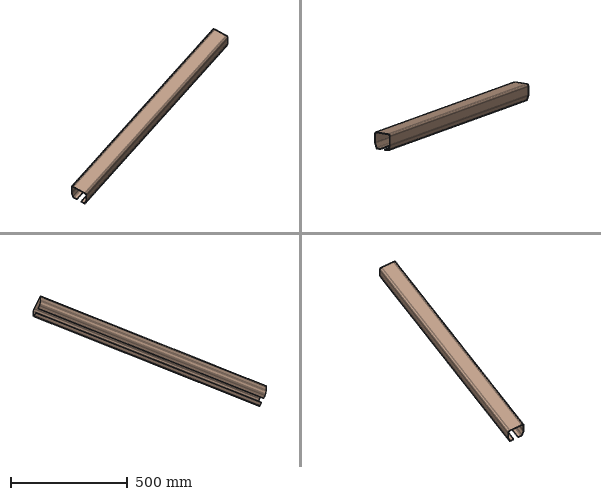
import cadquery as cq

length = 1056.0
width = 80.0
height = 75.0
wall = 4.0

bottom_width = 62.0
slot_width = 22.0
upright_height = 50.0
top_radius = 10.0
bend_radius = 6.0
lip_radius = 6.0

half_width = width / 2
half_bottom = bottom_width / 2
top = height / 2
bottom = -height / 2
bend = top - upright_height


def solid_bar():
    """Full outer section, without the hollow, with its bends rounded."""
    bar = (
        cq.Workplane("XZ")
        .moveTo(-half_width, top)
        .lineTo(half_width, top)
        .lineTo(half_width, bend)
        .lineTo(half_bottom, bottom)
        .lineTo(-half_bottom, bottom)
        .lineTo(-half_width, bend)
        .close()
        .extrude(length / 2, both=True)
    )
    bar = bar.edges("|Y and >Z").fillet(top_radius)
    bar = bar.edges("|Y and <Z").fillet(lip_radius)
    bend_edges = cq.selectors.BoxSelector(
        (-width, -length, bend - wall), (width, length, bend + wall)
    )
    return bar.edges("|Y").edges(bend_edges).fillet(bend_radius)


def hollow(bar):
    """Leave an even wall, open at both ends."""
    return bar.faces("<Y or >Y").shell(-wall)


def slot():
    """Opening that runs the whole length between the bottom lips."""
    cut_height = 3 * wall
    return cq.Workplane("XY").box(slot_width, length, cut_height).translate((0, 0, bottom))


result = hollow(solid_bar()).cut(slot())